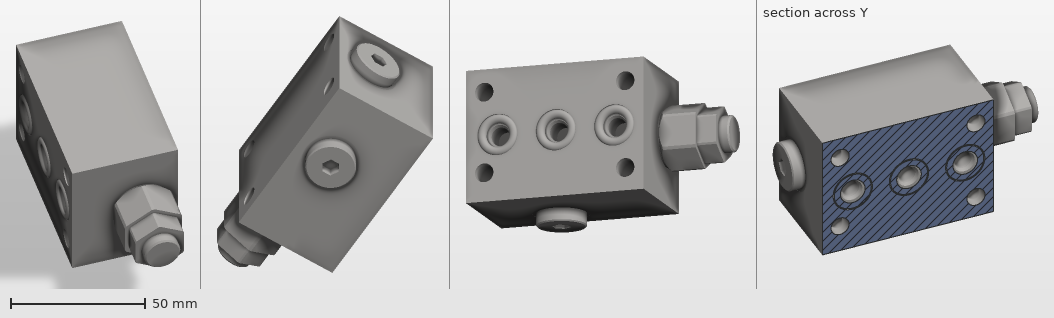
import cadquery as cq


hex_sides = 6

block_length = 69.9
block_depth = 41.4
block_height = 50.8

mount_hole_diameter = 7.2
mount_edge_x = 7.2
mount_edge_z = 8.7
lower_left_hole_z = 11.1

cartridge_to_back = 14.3
cartridge_axis_y = block_depth - cartridge_to_back
cartridge_axis_z = block_height / 2
bottom_plug_x = 28.6

plug_diameter = 19.0
plug_height = 5.0
plug_chamfer = 0.5
socket_across_corners = 7.0
socket_depth = 4.1
spot_face_diameter = 21.7
spot_face_depth = 0.1

port_count = 3
port_pitch = 23.0
first_port_x = 12.4
port_mouth_diameter = 8.5
port_diameter = 7.1
port_taper_length = 1.3
port_depth = 12.2
oring_outer_diameter = 16.0
oring_section = 3.4
oring_protrusion = 0.7
oring_squeeze = 0.1

collar_diameter = 22.0
collar_end = 0.5
large_hex_flats = 22.4
large_hex_corner_diameter = 25.1
large_hex_end = 15.0
small_hex_flats = 19.0
small_hex_corner_diameter = 21.5
small_hex_end = 22.7
tip_diameter = 14.0
tip_end = 26.7
tip_chamfer = 0.6


def shift_plane(plane, distance):
    """Copy of a plane moved along its own normal."""
    return cq.Plane(origin=plane.origin + plane.zDir * distance, xDir=plane.xDir, normal=plane.zDir)


def make_block():
    block = cq.Workplane("XY").box(block_length, block_depth, block_height, centered=False)
    left_x = mount_edge_x
    right_x = block_length - mount_edge_x
    top_z = block_height - mount_edge_z
    hole_centers = [
        (left_x, top_z),
        (right_x, top_z),
        (left_x, lower_left_hole_z),
        (right_x, mount_edge_z),
    ]
    holes = (
        cq.Workplane("XZ")
        .pushPoints(hole_centers)
        .circle(mount_hole_diameter / 2)
        .extrude(-block_depth)
    )
    return block.cut(holes)


def add_plug(body, seat):
    """Add a plug standing on the seat plane, whose normal points out of the block."""
    spot_face = (
        cq.Workplane(seat)
        .circle(spot_face_diameter / 2)
        .extrude(-spot_face_depth)
    )
    plug = (
        cq.Workplane(shift_plane(seat, -spot_face_depth))
        .circle(plug_diameter / 2)
        .extrude(plug_height + spot_face_depth)
        .faces(cq.selectors.DirectionMinMaxSelector(seat.zDir))
        .chamfer(plug_chamfer)
    )
    socket = (
        cq.Workplane(shift_plane(seat, plug_height))
        .polygon(hex_sides, socket_across_corners)
        .extrude(-socket_depth)
    )
    return body.cut(spot_face).union(plug).cut(socket)


def make_port_cavity():
    """Counterbore, tapered mouth and blind bore, on the Y axis with the opening at Y = 0."""
    counterbore_depth = oring_section - oring_protrusion - oring_squeeze
    counterbore_radius = oring_outer_diameter / 2 - oring_squeeze / 2
    bore_start = counterbore_depth + port_taper_length
    return (
        cq.Workplane("XY")
        .moveTo(0, 0)
        .lineTo(counterbore_radius, 0)
        .lineTo(counterbore_radius, counterbore_depth)
        .lineTo(port_mouth_diameter / 2, counterbore_depth)
        .lineTo(port_diameter / 2, bore_start)
        .lineTo(port_diameter / 2, port_depth)
        .lineTo(0, port_depth)
        .close()
        .revolve(360, (0, 0, 0), (0, 1, 0))
    )


def make_oring():
    section_radius = oring_section / 2
    section_center_radius = oring_outer_diameter / 2 - section_radius
    section_center_y = section_radius - oring_protrusion
    return (
        cq.Workplane("XY")
        .center(section_center_radius, section_center_y)
        .circle(section_radius)
        .revolve(360, (-section_center_radius, 0, 0), (-section_center_radius, 1, 0))
    )


def make_hex_blanks(axis_plane, start, end, flats, corner_diameter):
    """Hexagon prism and the round bar that limits its corners, both between start and end."""
    start_plane = shift_plane(axis_plane, start)
    length = end - start
    prism = cq.Workplane(start_plane).polygon(hex_sides, flats, circumscribed=True).extrude(length)
    round_bar = cq.Workplane(start_plane).circle(corner_diameter / 2).extrude(length)
    return prism, round_bar


def make_cartridge():
    axis_plane = cq.Plane(
        origin=(block_length, cartridge_axis_y, cartridge_axis_z), xDir=(0, 1, 0), normal=(1, 0, 0)
    )
    collar = cq.Workplane(axis_plane).circle(collar_diameter / 2).extrude(collar_end)

    large_prism, large_bar = make_hex_blanks(
        axis_plane, collar_end, large_hex_end, large_hex_flats, large_hex_corner_diameter
    )
    turned_chamfer = (large_hex_corner_diameter - collar_diameter) / 2
    large_hex = large_prism.intersect(large_bar.faces("<X").chamfer(turned_chamfer))

    small_prism, small_bar = make_hex_blanks(
        axis_plane, large_hex_end, small_hex_end, small_hex_flats, small_hex_corner_diameter
    )
    small_hex = small_prism.intersect(small_bar)

    tip = (
        cq.Workplane(shift_plane(axis_plane, small_hex_end))
        .circle(tip_diameter / 2)
        .extrude(tip_end - small_hex_end)
        .faces(">X")
        .chamfer(tip_chamfer)
    )
    return collar.union(large_hex).union(small_hex).union(tip)


result = make_block()

left_seat = cq.Plane(
    origin=(0, cartridge_axis_y, cartridge_axis_z), xDir=(0, 1, 0), normal=(-1, 0, 0)
)
bottom_seat = cq.Plane(
    origin=(bottom_plug_x, cartridge_axis_y, 0), xDir=(0, 1, 0), normal=(0, 0, -1)
)
for plug_seat in (left_seat, bottom_seat):
    result = add_plug(result, plug_seat)

for index in range(port_count):
    port_center = (first_port_x + index * port_pitch, 0, block_height / 2)
    result = result.cut(make_port_cavity().translate(port_center))
    result = result.union(make_oring().translate(port_center))

result = result.union(make_cartridge())